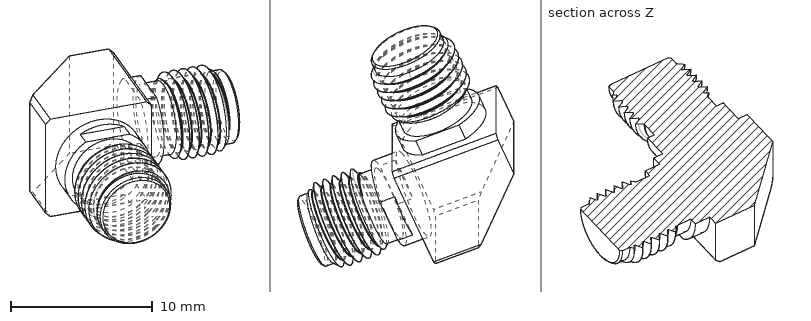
import cadquery as cq
import math


BODY_SIZE = 7.95
HALF_BODY = BODY_SIZE / 2
CORNER_LEG = 4.65
EDGE_CHAMFER = 0.36

COLLAR_DIAMETER = 6.44
ACROSS_FLATS = 5.53
X_FLANGE_LENGTH = 0.77
X_FLATS_LENGTH = 1.14
Y_FLATS_LENGTH = 1.21

BARREL_DIAMETER = 5.3
NECK_LENGTH = 1.13
THREAD_LENGTH = 4.04
TIP_LENGTH = 0.77
TIP_CHAMFER = 0.15
BARREL_LENGTH = NECK_LENGTH + THREAD_LENGTH + TIP_LENGTH
THREAD_DIAMETER = 6.35
PITCH = 25.4 / 36
FLANK_ANGLE = 30.0
CREST_FLAT = 0.03
THREAD_START = 0.93
THREAD_OVERLAP = 0.05

BARREL_RADIUS = BARREL_DIAMETER / 2
CREST_RADIUS = THREAD_DIAMETER / 2
ROOT_RADIUS = BARREL_RADIUS - THREAD_OVERLAP


def make_body():
    """Cube with a 45 degree corner cut and chamfered edges along X."""
    body = cq.Workplane("XY").box(BODY_SIZE, BODY_SIZE, BODY_SIZE)
    body = body.edges("|X").chamfer(EDGE_CHAMFER)
    corner = (
        cq.Workplane("XY", origin=(-HALF_BODY, -HALF_BODY, -HALF_BODY))
        .polyline([(0, 0), (CORNER_LEG, 0), (0, CORNER_LEG)])
        .close()
        .extrude(BODY_SIZE)
    )
    return body.cut(corner)


def make_thread():
    """Helical ridge along +Z from Z = 0, bevelled at 45 degrees at both ends."""
    turns_inward = math.ceil((THREAD_LENGTH - THREAD_START + PITCH) / PITCH)
    turns_outward = math.ceil((THREAD_START + PITCH) / PITCH)
    turns = turns_inward + turns_outward
    first_crest = THREAD_LENGTH - THREAD_START - turns_inward * PITCH
    crest_half = CREST_FLAT / 2
    root_half = crest_half + (CREST_RADIUS - ROOT_RADIUS) * math.tan(math.radians(FLANK_ANGLE))

    helix = cq.Wire.makeHelix(PITCH, turns * PITCH, BARREL_RADIUS)
    ridge = (
        cq.Workplane("XZ")
        .polyline([
            (ROOT_RADIUS, -root_half),
            (CREST_RADIUS, -crest_half),
            (CREST_RADIUS, crest_half),
            (ROOT_RADIUS, root_half),
        ])
        .close()
        .sweep(cq.Workplane(helix), isFrenet=True)
        .translate((0, 0, first_crest))
    )
    cone_rise = BARREL_RADIUS + THREAD_LENGTH / 2
    envelope = (
        cq.Workplane("XZ")
        .polyline([
            (0, -BARREL_RADIUS),
            (cone_rise, THREAD_LENGTH / 2),
            (0, THREAD_LENGTH + BARREL_RADIUS),
        ])
        .close()
        .revolve(360, (0, 0, 0), (0, 1, 0))
    )
    return ridge.intersect(envelope)


def make_connector(flange_length, flats_length):
    """Collar and threaded barrel along +Z, starting at Z = 0."""
    collar_length = flange_length + flats_length
    collar = cq.Workplane("XY").circle(COLLAR_DIAMETER / 2).extrude(collar_length)
    for side in (-1, 1):
        flat_cut = (
            cq.Workplane("XY", origin=(side * ACROSS_FLATS, 0, flange_length))
            .rect(ACROSS_FLATS, 2 * COLLAR_DIAMETER)
            .extrude(flats_length)
        )
        collar = collar.cut(flat_cut)
    barrel = (
        cq.Workplane("XY", origin=(0, 0, collar_length))
        .circle(BARREL_RADIUS)
        .extrude(BARREL_LENGTH)
        .faces(">Z")
        .edges()
        .chamfer(TIP_CHAMFER)
    )
    thread = make_thread().translate((0, 0, collar_length + NECK_LENGTH))
    return collar.union(barrel).union(thread)


def seat_on_x_face(connector):
    """Move a +Z connector onto the body's +X face."""
    return connector.translate((0, 0, HALF_BODY)).rotate((0, 0, 0), (0, 1, 0), 90)


x_connector = seat_on_x_face(make_connector(X_FLANGE_LENGTH, X_FLATS_LENGTH))
y_connector = seat_on_x_face(make_connector(0, Y_FLATS_LENGTH)).rotate((0, 0, 0), (0, 0, 1), 90)

result = make_body().union(x_connector).union(y_connector)